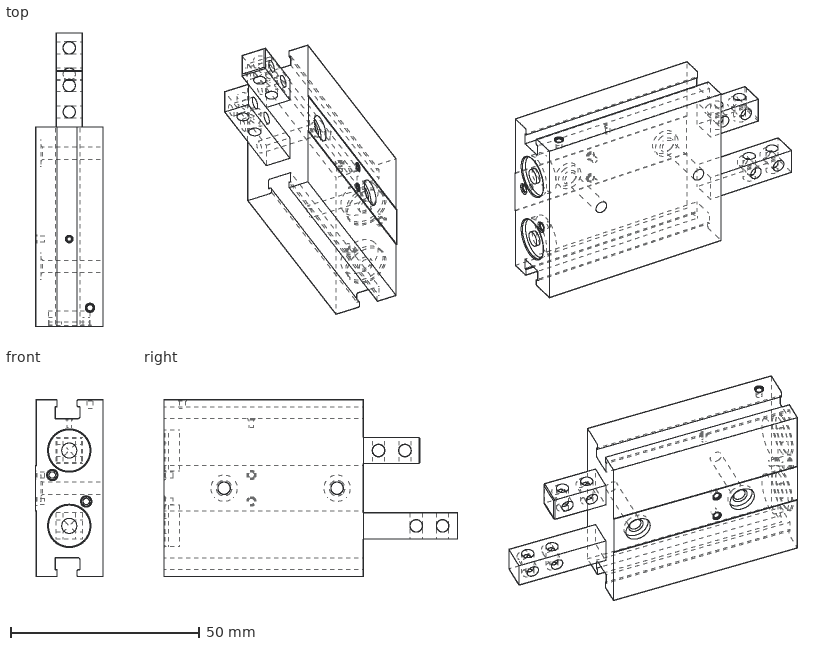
import cadquery as cq


housing_length = 53.0
housing_height = 47.0
housing_thickness = 18.0
pad_height = 0.2
pad_width = 12.0
pad_face_x = -housing_thickness / 2
block_left_x = pad_face_x + pad_height
block_right_x = housing_thickness / 2

axis_spacing = 20.0
axis_heights = {"upper": axis_spacing / 2, "lower": -axis_spacing / 2}

slot_depth = 5.0
slot_left_x = -3.7
slot_right_x = 2.8
lip_height = 1.9
lip_left_x = -3.2
lip_right_x = 2.0
left_lip_radius = 0.2
right_lip_radius = 0.5
slot_floor_radius = 0.4

cap_diameter = 11.0
cap_thickness = 3.0
cap_recess = 1.2
cap_boss_diameter = 4.0
cap_boss_length = 1.0
bore_depth = cap_recess + cap_thickness
bore_chamfer = 0.25

port_x = 4.5
port_z = 3.5
port_diameters = (3.0, 2.46, 1.7)

mount_y_positions = (16.0, 46.0)
mount_diameter = 3.24
mount_mouth_diameter = 4.13
counterbore_diameter = 7.0
counterbore_depth = 1.5

pad_hole_y = 23.25
pad_hole_z = port_z
slot_hole_y = pad_hole_y
top_hole_x = 5.5
top_hole_y = 5.0
small_hole_diameters = (2.46, 2.1, 1.6)
slot_hole_diameters = (2.0, 1.7, 1.2)

step_depth = 0.4
passage_depth = 2.0

finger_width = 7.0
finger_lengths = {"upper": 15.0, "lower": 25.0}
finger_hole_diameter = 3.24
finger_hole_pitch = 7.0
finger_hole_count = 2
finger_hole_end_distance = 4.0
upper_tip_chamfer = 0.3


def box(x_min, x_max, y_min, y_max, z_min, z_max):
    """Return a box between the given limits."""
    size = (x_max - x_min, y_max - y_min, z_max - z_min)
    return cq.Workplane("XY").box(*size, centered=False).translate((x_min, y_min, z_min))


def cylinder(diameter, length, start, direction):
    """Return a cylinder that runs from start along direction."""
    solid = cq.Solid.makeCylinder(diameter / 2, length, cq.Vector(*start), cq.Vector(*direction))
    return cq.Workplane(solid)


def mouth_cone(mouth_diameter, hole_diameter, start, direction):
    """Return a 45 degree cone that widens the mouth of a hole."""
    depth = (mouth_diameter - hole_diameter) / 2
    cone = cq.Solid.makeCone(
        mouth_diameter / 2, hole_diameter / 2, depth, cq.Vector(*start), cq.Vector(*direction)
    )
    return cq.Workplane(cone)


def stepped_hole(diameters, start, direction):
    """Return a blind hole with a chamfered mouth, a shallow step and a narrower passage."""
    mouth_diameter, step_diameter, passage_diameter = diameters
    hole = cylinder(step_diameter, step_depth, start, direction)
    hole = hole.union(mouth_cone(mouth_diameter, step_diameter, start, direction))
    return hole.union(cylinder(passage_diameter, step_depth + passage_depth, start, direction))


def make_upper_slot():
    """Return the sensor slot of the upper edge, with its lips and the +X floor corner rounded."""
    top = housing_height / 2
    lip_bottom = top - lip_height
    floor = top - slot_depth
    profile = (
        cq.Workplane("XZ")
        .moveTo(lip_left_x - left_lip_radius, top)
        .radiusArc((lip_left_x, top - left_lip_radius), left_lip_radius)
        .lineTo(lip_left_x, lip_bottom)
        .lineTo(slot_left_x, lip_bottom)
        .lineTo(slot_left_x, floor)
        .lineTo(slot_right_x - slot_floor_radius, floor)
        .radiusArc((slot_right_x, floor + slot_floor_radius), -slot_floor_radius)
        .lineTo(slot_right_x, lip_bottom)
        .lineTo(lip_right_x + right_lip_radius, lip_bottom)
        .radiusArc((lip_right_x, lip_bottom + right_lip_radius), right_lip_radius)
        .lineTo(lip_right_x, top - right_lip_radius)
        .radiusArc((lip_right_x + right_lip_radius, top), right_lip_radius)
        .close()
    )
    return profile.extrude(-housing_length)


def make_mounting_hole(y):
    """Return one through hole with a counterbore on the pad side."""
    inward = (1, 0, 0)
    seat = (pad_face_x + counterbore_depth, y, 0)
    hole = cylinder(mount_diameter, housing_thickness, (pad_face_x, y, 0), inward)
    hole = hole.union(cylinder(counterbore_diameter, counterbore_depth, (pad_face_x, y, 0), inward))
    return hole.union(mouth_cone(mount_mouth_diameter, mount_diameter, seat, inward))


def make_cap_bore(z):
    """Return the bore for one end cap, with its chamfered rim."""
    start = (0, 0, z)
    inward = (0, 1, 0)
    bore = cylinder(cap_diameter, bore_depth, start, inward)
    return bore.union(mouth_cone(cap_diameter + 2 * bore_chamfer, cap_diameter, start, inward))


def make_housing():
    """Return the housing block with its pad, slots, bores and holes."""
    top = housing_height / 2
    body = box(block_left_x, block_right_x, 0, housing_length, -top, top)
    body = body.union(box(pad_face_x, 0, 0, housing_length, -pad_width / 2, pad_width / 2))

    upper_slot = make_upper_slot()
    body = body.cut(upper_slot).cut(upper_slot.mirror("XY"))

    for z in axis_heights.values():
        body = body.cut(make_cap_bore(z))
    for side in (-1, 1):
        body = body.cut(stepped_hole(port_diameters, (side * port_x, 0, -side * port_z), (0, 1, 0)))
        pad_hole_start = (pad_face_x, pad_hole_y, side * pad_hole_z)
        body = body.cut(stepped_hole(small_hole_diameters, pad_hole_start, (1, 0, 0)))
    for y in mount_y_positions:
        body = body.cut(make_mounting_hole(y))

    slot_hole_start = (0, slot_hole_y, top - slot_depth)
    body = body.cut(stepped_hole(slot_hole_diameters, slot_hole_start, (0, 0, -1)))
    top_hole_start = (top_hole_x, top_hole_y, top)
    return body.cut(stepped_hole(small_hole_diameters, top_hole_start, (0, 0, -1)))


def make_end_cap(z):
    """Return one end cap, recessed in its bore, with a boss on its outer face."""
    cap = cylinder(cap_diameter, cap_thickness, (0, cap_recess, z), (0, 1, 0))
    return cap.union(cylinder(cap_boss_diameter, cap_boss_length, (0, cap_recess, z), (0, -1, 0)))


def make_finger(length, z):
    """Return one square finger with two pairs of crossing holes near its tip."""
    half = finger_width / 2
    tip_y = housing_length + length
    finger = box(-half, half, housing_length, tip_y, z - half, z + half)
    for index in range(finger_hole_count):
        y = tip_y - finger_hole_end_distance - index * finger_hole_pitch
        finger = finger.cut(cylinder(finger_hole_diameter, finger_width, (-half, y, z), (1, 0, 0)))
        finger = finger.cut(cylinder(finger_hole_diameter, finger_width, (0, y, z - half), (0, 0, 1)))
    return finger


housing = make_housing()
end_caps = [make_end_cap(z) for z in axis_heights.values()]
upper_finger = make_finger(finger_lengths["upper"], axis_heights["upper"])
upper_finger = upper_finger.faces(">Y").chamfer(upper_tip_chamfer)
lower_finger = make_finger(finger_lengths["lower"], axis_heights["lower"])

result = cq.Compound.makeCompound(
    [
        housing.val(),
        *[cap.val() for cap in end_caps],
        upper_finger.val(),
        lower_finger.val(),
    ]
)